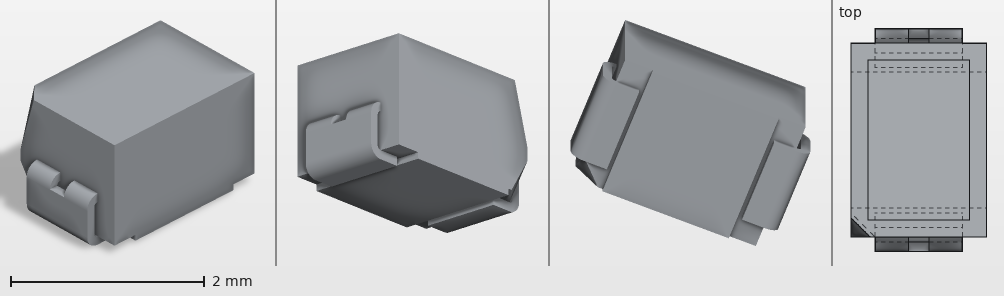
import cadquery as cq

total_length = 2.3
total_height = 1.33
housing_width = 1.4

strip_thickness = 0.101
strip_width = 0.902
terminal_reach = 0.15
terminal_height = 0.625
foot_length = 0.4
embedded_depth = strip_thickness
outer_bend_radius = 0.147
inner_bend_radius = outer_bend_radius - strip_thickness
notch_width = 0.21
notch_depth = 0.14

housing_length = total_length - 2 * terminal_reach
housing_bottom = strip_thickness
housing_height = total_height - housing_bottom
pad_length = 1.4
pad_height = 0.071

top_cut_side = 0.2
top_cut_height = 0.702
bottom_cut_side = 0.25
bottom_cut_height = 0.398

plate_width = 1.05
plate_length = 1.647
plate_thickness = 0.023

housing_end = housing_length / 2
terminal_end = total_length / 2


def centred_block(width, length, height, bottom):
    """Block centred in X and Y, standing on the level `bottom`."""
    block = cq.Workplane("XY").box(width, length, height, centered=(True, True, False))
    return block.translate((0, 0, bottom))


def corner_cutter(side, height, level):
    """Tetrahedron on the -X, -Y edge: legs of `side` at `level`, apex `height` away along Z."""
    corner_x = -housing_width / 2
    corner_y = -housing_end
    corner = cq.Vector(corner_x, corner_y, level)
    along_x = cq.Vector(corner_x + side, corner_y, level)
    along_y = cq.Vector(corner_x, corner_y + side, level)
    apex = cq.Vector(corner_x, corner_y, level + height)
    triangles = [
        (corner, along_x, along_y),
        (corner, along_x, apex),
        (corner, along_y, apex),
        (along_x, along_y, apex),
    ]
    faces = [cq.Face.makeFromWires(cq.Wire.makePolygon(list(points), close=True)) for points in triangles]
    return cq.Solid.makeSolid(cq.Shell.makeShell(faces)).fix()


def make_terminal():
    """Terminal at the +Y end: embedded shoulder, upright strip and foot, with a notched shoulder."""
    root_y = housing_end - embedded_depth
    foot_y = terminal_end - foot_length
    bend_y = terminal_end - outer_bend_radius
    inner_y = terminal_end - strip_thickness
    upper_bend_z = terminal_height - outer_bend_radius
    terminal = (
        cq.Workplane("YZ", origin=(-strip_width / 2, 0, 0))
        .moveTo(foot_y, 0)
        .lineTo(bend_y, 0)
        .radiusArc((terminal_end, outer_bend_radius), -outer_bend_radius)
        .lineTo(terminal_end, upper_bend_z)
        .radiusArc((bend_y, terminal_height), -outer_bend_radius)
        .lineTo(root_y, terminal_height)
        .lineTo(root_y, terminal_height - strip_thickness)
        .lineTo(bend_y, terminal_height - strip_thickness)
        .radiusArc((inner_y, upper_bend_z), inner_bend_radius)
        .lineTo(inner_y, outer_bend_radius)
        .radiusArc((bend_y, strip_thickness), inner_bend_radius)
        .lineTo(foot_y, strip_thickness)
        .close()
        .extrude(strip_width)
    )
    notch = centred_block(notch_width, terminal_reach, notch_depth, terminal_height - notch_depth)
    return terminal.cut(notch.translate((0, housing_end + terminal_reach / 2, 0)))


def make_plate():
    return centred_block(plate_width, plate_length, plate_thickness, total_height - plate_thickness)


def make_housing(plate, terminals):
    """Block with pad and cut corner, hollowed to seat the plate and the terminal roots."""
    block = centred_block(housing_width, housing_length, housing_height, housing_bottom)
    pad = centred_block(housing_width, pad_length, pad_height, housing_bottom - pad_height)
    housing = block.union(pad)
    housing = housing.cut(cq.Workplane(corner_cutter(top_cut_side, -top_cut_height, total_height)))
    housing = housing.cut(cq.Workplane(corner_cutter(bottom_cut_side, bottom_cut_height, housing_bottom)))
    housing = housing.cut(plate)
    for terminal in terminals:
        housing = housing.cut(terminal)
    return housing


plate = make_plate()
terminals = [make_terminal().rotate((0, 0, 0), (0, 0, 1), angle) for angle in (0, 180)]
housing = make_housing(plate, terminals)

result = cq.Compound.makeCompound([
    housing.val(),
    plate.val(),
    *[terminal.val() for terminal in terminals],
])